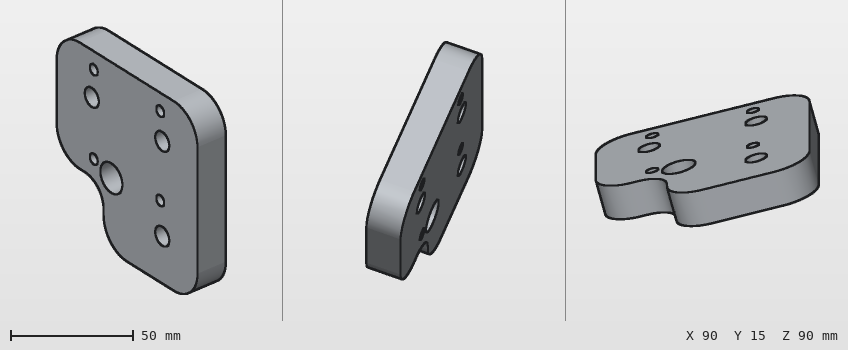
import cadquery as cq

side = 90.0
thickness = 15.0
corner_radius = 15.0
back_face = (0, thickness / 2, 0)

notch = 30.0
notch_radius = 12.0

medium_diameter = 9.0
medium_offset = side / 4

small_diameter = 5.0
small_spacing = 42.4
small_center_z = 15.0

large_diameter = 14.0
large_offset = 10.0


def make_plate():
    """L-shaped plate with all six outline corners rounded."""
    half = side / 2
    inner = notch - half
    plate = (
        cq.Workplane("XZ", origin=back_face)
        .moveTo(inner, -half)
        .lineTo(half, -half)
        .lineTo(half, half)
        .lineTo(-half, half)
        .lineTo(-half, inner)
        .lineTo(inner, inner)
        .close()
        .extrude(thickness)
    )
    inner_corner = cq.selectors.NearestToPointSelector((inner, 0, inner))
    plate = plate.edges("|Y").edges(inner_corner).fillet(notch_radius)
    outer_corners = [
        (inner, 0, -half),
        (half, 0, -half),
        (half, 0, half),
        (-half, 0, half),
        (-half, 0, inner),
    ]
    for corner in outer_corners:
        selector = cq.selectors.NearestToPointSelector(corner)
        plate = plate.edges("|Y").edges(selector).fillet(corner_radius)
    return plate


def hole_cutters(centers, diameter):
    """Cylinders through the plate at the given (x, z) centres."""
    return (
        cq.Workplane("XZ", origin=back_face)
        .pushPoints(centers)
        .circle(diameter / 2)
        .extrude(thickness)
    )


medium_centers = [
    (-medium_offset, medium_offset),
    (medium_offset, medium_offset),
    (medium_offset, -medium_offset),
]
small_centers = [
    (x_sign * small_spacing / 2, small_center_z + z_sign * small_spacing / 2)
    for x_sign in (-1, 1)
    for z_sign in (-1, 1)
]
large_centers = [(-large_offset, -large_offset)]

result = (
    make_plate()
    .cut(hole_cutters(medium_centers, medium_diameter))
    .cut(hole_cutters(small_centers, small_diameter))
    .cut(hole_cutters(large_centers, large_diameter))
)